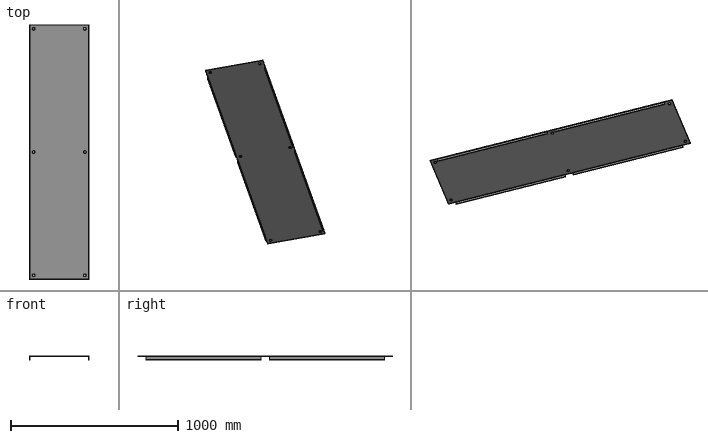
import cadquery as cq

width = 355.0
length = 1524.0
height = 23.0
sheet_thickness = 2.5

flange_side_inset = 0.5
flange_end_setback = 47.0
flange_middle_gap = 49.0
flange_length = (length - 2 * flange_end_setback - flange_middle_gap) / 2
flange_offset = (flange_middle_gap + flange_length) / 2

hole_diameter = 14.3
hole_edge_distance = 25.0
hole_x = width / 2 - hole_edge_distance
hole_y = length / 2 - hole_edge_distance


def make_panel():
    """Flat sheet with its top face at the full height."""
    panel = cq.Workplane("XY").box(width, length, sheet_thickness, centered=(True, True, False))
    return panel.translate((0, 0, height - sheet_thickness))


def make_flanges():
    """Four thin walls, two under each long edge, just inside the panel sides."""
    flange_x = (width - sheet_thickness) / 2 - flange_side_inset
    centers = [(x, y) for x in (-flange_x, flange_x) for y in (-flange_offset, flange_offset)]
    return cq.Workplane("XY").pushPoints(centers).rect(sheet_thickness, flange_length).extrude(height)


def make_hole_cutters():
    """Cylinders through the panel near its corners and at mid length."""
    centers = [(x, y) for x in (-hole_x, hole_x) for y in (-hole_y, 0, hole_y)]
    return cq.Workplane("XY").pushPoints(centers).circle(hole_diameter / 2).extrude(height)


result = make_panel().union(make_flanges()).cut(make_hole_cutters())